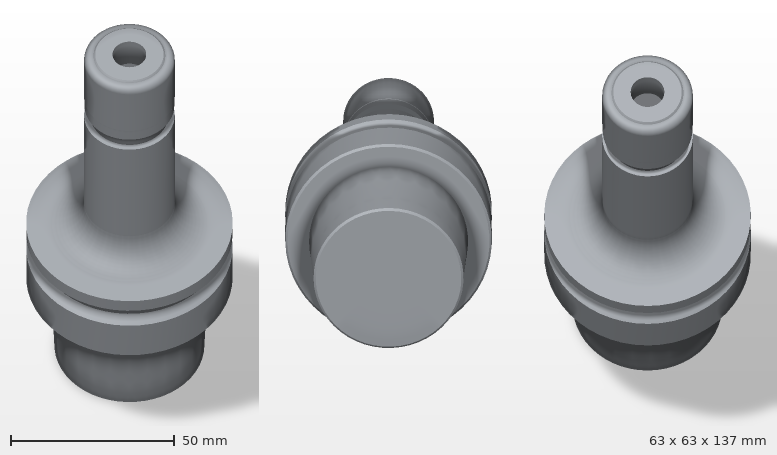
import cadquery as cq

total_height = 137.0
taper_height = 32.0
flange_height = 26.0
flange_top = taper_height + flange_height

taper_top_radius = 24.2
taper_bottom_radius = 22.9
taper_chamfer = 0.7

flange_radius = 31.5
flange_chamfer = 0.7
groove_radius = 28.4
groove_bottom = 46.6
groove_floor_bottom = 48.5
groove_floor_top = 51.5
groove_top = 53.5

shank_radius = 13.8
root_fillet = 9.9
shank_top = 108.5

neck_radius = 11.9
collar_bottom = 113.0
collar_top = 117.1
collar_radius = 13.7
head_edge_chamfer = shank_radius - collar_radius
head_fillet = 2.0

screw_radius = 11.0
screw_chamfer = 0.5
head_top = total_height - screw_chamfer
socket_diameter = 10.3
socket_depth = 10.3


def turned_body():
    """Revolve the solid half profile, drawn as radius against height, about Z."""
    fillet_top = flange_top + root_fillet
    head_side_top = head_top - head_fillet
    root_mid = root_fillet * 0.5**0.5
    head_mid = head_fillet * 0.5**0.5
    head_centre_radius = shank_radius - head_fillet

    profile = (
        cq.Workplane("XZ")
        .moveTo(0, 0)
        .lineTo(taper_bottom_radius - taper_chamfer, 0)
        .lineTo(taper_bottom_radius, taper_chamfer)
        .lineTo(taper_top_radius, taper_height)
        .lineTo(flange_radius - flange_chamfer, taper_height)
        .lineTo(flange_radius, taper_height + flange_chamfer)
        .lineTo(flange_radius, groove_bottom)
        .lineTo(groove_radius, groove_floor_bottom)
        .lineTo(groove_radius, groove_floor_top)
        .lineTo(flange_radius, groove_top)
        .lineTo(flange_radius, flange_top)
        .lineTo(shank_radius + root_fillet, flange_top)
        .threePointArc(
            (shank_radius + root_fillet - root_mid, fillet_top - root_mid),
            (shank_radius, fillet_top),
        )
        .lineTo(shank_radius, shank_top)
        .lineTo(neck_radius, shank_top)
        .lineTo(neck_radius, collar_bottom)
        .lineTo(collar_radius, collar_bottom)
        .lineTo(collar_radius, collar_top)
        .lineTo(shank_radius, collar_top + head_edge_chamfer)
        .lineTo(shank_radius, head_side_top)
        .threePointArc(
            (head_centre_radius + head_mid, head_side_top + head_mid),
            (head_centre_radius, head_top),
        )
        .lineTo(screw_radius, head_top)
        .lineTo(screw_radius - screw_chamfer, total_height)
        .lineTo(0, total_height)
        .close()
    )
    return profile.revolve(360, (0, 0, 0), (0, 1, 0))


def add_socket(body):
    """Sink the blind round socket into the screw face."""
    return body.faces(">Z").workplane().hole(socket_diameter, socket_depth)


result = add_socket(turned_body())